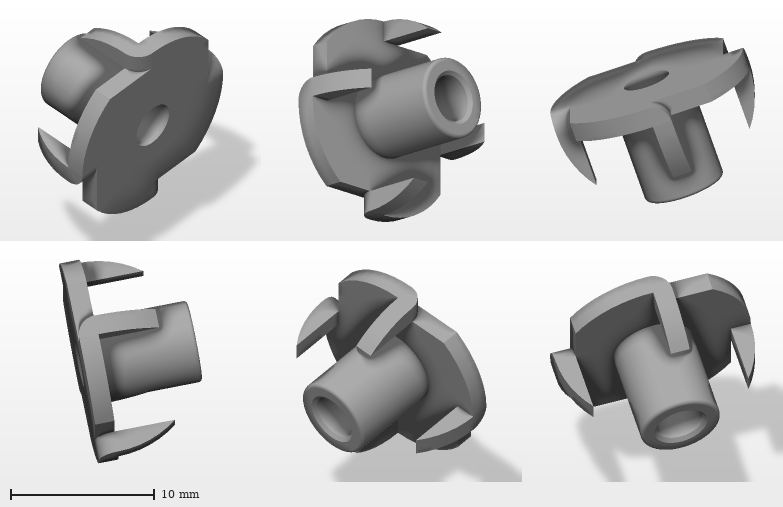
import cadquery as cq
import math

flange_radius = 7.1
sheet_thickness = 1.38
flat_distance = 5.64
barrel_length = 6.82
barrel_radius = 2.88
barrel_edge_radius = 0.25
bore_radius = 1.66
bore_chamfer = 0.25
prong_count = 4

prong_height = flange_radius - flat_distance
prong_length = math.sqrt(flange_radius**2 - flat_distance**2)


def box(x_range, y_range, z_range):
    """Axis-aligned box between the given limits."""
    size = [high - low for low, high in (x_range, y_range, z_range)]
    corner = (x_range[0], y_range[0], z_range[0])
    return cq.Workplane("XY").box(*size, centered=False).translate(corner)


def make_flange_notch():
    """Material removed from the flange beside the top prong, on its -Y side."""
    return box((0, sheet_thickness), (-flange_radius, 0), (flat_distance, flange_radius))


def make_prong():
    """Top prong: a curved blade and the quarter-round bend that joins it to the flange."""
    mid_angle = math.asin(prong_length / flange_radius) / 2
    arc_middle = (-flange_radius * math.sin(mid_angle), flange_radius * math.cos(mid_angle))
    blade = (
        cq.Workplane("XZ")
        .moveTo(0, flat_distance)
        .lineTo(-prong_length, flat_distance)
        .threePointArc(arc_middle, (0, flange_radius))
        .close()
        .extrude(sheet_thickness)
    )
    bend_middle = sheet_thickness * math.sqrt(0.5)
    bend = (
        cq.Workplane("XY", origin=(0, 0, flat_distance))
        .lineTo(sheet_thickness, 0)
        .threePointArc((bend_middle, -bend_middle), (0, -sheet_thickness))
        .close()
        .extrude(prong_height)
    )
    return blade.union(bend)


def make_barrel():
    """Barrel with a rounded free end."""
    barrel = cq.Workplane("YZ").circle(barrel_radius).extrude(-barrel_length)
    return barrel.faces("<X").edges().fillet(barrel_edge_radius)


def make_bore():
    """Through bore with a chamfered mouth at the barrel's free end."""
    bore = (
        cq.Workplane("YZ", origin=(-barrel_length, 0, 0))
        .circle(bore_radius)
        .extrude(barrel_length + sheet_thickness)
    )
    mouth = cq.Solid.makeCone(
        bore_radius + bore_chamfer, bore_radius, bore_chamfer,
        pnt=cq.Vector(-barrel_length, 0, 0), dir=cq.Vector(1, 0, 0),
    )
    return bore.union(cq.Workplane(mouth))


def turn(body, index):
    """Body moved to one of the evenly spaced prong positions around the axis."""
    return body.rotate((0, 0, 0), (1, 0, 0), index * 360 / prong_count)


result = cq.Workplane("YZ").circle(flange_radius).extrude(sheet_thickness)
for index in range(prong_count):
    result = result.cut(turn(make_flange_notch(), index))
for index in range(prong_count):
    result = result.union(turn(make_prong(), index))
result = result.union(make_barrel()).cut(make_bore())